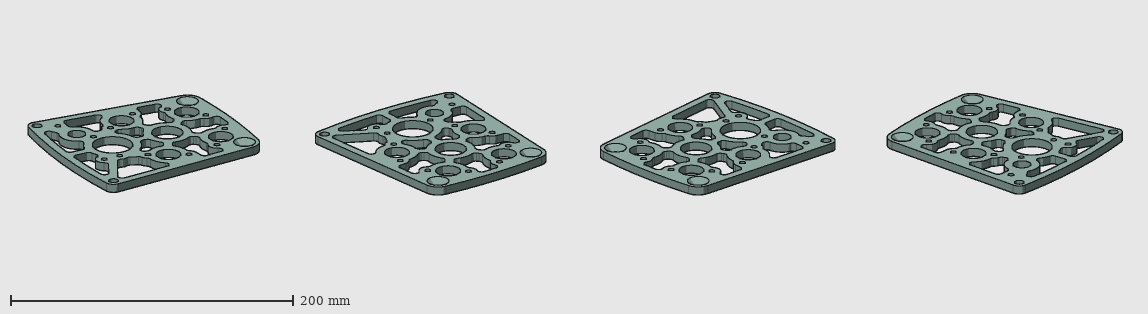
import cadquery as cq
import math

length = 137.6
thickness = 6.3
apex_y = length / 2

wall = thickness
boss_radius = wall
pocket_radius = 3.2
rim_reach = 20.6
left_rib_inner_reach = 8.3

top_corner = (41.3, 55.9)
top_corner_radius = 10.7
bottom_corner = (55.5, -58.4)
bottom_corner_radius = 6.5

countersink_hole = 6.5
countersink_diameter = 15.4
countersink_angle = 90.0
bottom_mount_hole = 6.9

middle_shaft, middle_hole = (0.0, 16.4), 22.2
lower_shaft, lower_hole = (0.0, -28.1), 28.6
upper_side_shaft = (24.8, 46.0)
lower_side_shaft = (34.0, -1.8)
side_hole = 17.6
small_shaft, small_hole = (-29.0, -40.9), 12.7

screw_hole = 4.1
upper_screw_offset = (11.0, -9.4)
lower_screw_offset = (6.9, 12.8)
inner_screw = (19.1, -32.9)
left_screw = (-48.2, -45.5)
right_screw = (19.1, -45.5)


def shifted(point, offset, sign):
    return (point[0] + sign * offset[0], point[1] + sign * offset[1])


def mirrored(point):
    return (-point[0], point[1])


def both_sides(points):
    return points + [mirrored(point) for point in points]


lower_side_screw = shifted(lower_side_shaft, lower_screw_offset, 1)
inner_side_screw = shifted(lower_side_shaft, lower_screw_offset, -1)
screws = both_sides([
    shifted(upper_side_shaft, upper_screw_offset, 1),
    shifted(upper_side_shaft, upper_screw_offset, -1),
    lower_side_screw,
    inner_side_screw,
    inner_screw,
]) + [left_screw, right_screw]

shafts = [(middle_shaft, middle_hole), (lower_shaft, lower_hole), (small_shaft, small_hole)]
shafts += [(point, side_hole) for point in both_sides([upper_side_shaft, lower_side_shaft])]

corner_dx = bottom_corner[0] - top_corner[0]
corner_dy = top_corner[1] - bottom_corner[1]
flank_normal = math.atan2(corner_dx, corner_dy) + math.asin(
    (bottom_corner_radius - top_corner_radius) / math.hypot(corner_dx, corner_dy)
)


def along(point, angle, distance):
    return (point[0] + distance * math.cos(angle), point[1] + distance * math.sin(angle))


def end_arc_angle(corner, radius):
    """Angle at which the arc through the end apex touches a corner circle."""
    drop = apex_y - abs(corner[1])
    arc_radius = (corner[0] ** 2 + drop**2 - radius**2) / (2 * (drop - radius))
    return math.atan2(arc_radius - drop, corner[0])


def outline():
    top_angle = end_arc_angle(top_corner, top_corner_radius)
    bottom_angle = -end_arc_angle(bottom_corner, bottom_corner_radius)

    def on_top(angle):
        return along(top_corner, angle, top_corner_radius)

    def on_bottom(angle):
        return along(bottom_corner, angle, bottom_corner_radius)

    top_end, top_side = on_top(top_angle), on_top(flank_normal)
    top_middle = on_top((top_angle + flank_normal) / 2)
    bottom_end, bottom_side = on_bottom(bottom_angle), on_bottom(flank_normal)
    bottom_middle = on_bottom((bottom_angle + flank_normal) / 2)
    return (
        cq.Workplane("XY")
        .moveTo(*mirrored(top_end))
        .threePointArc((0, apex_y), top_end)
        .threePointArc(top_middle, top_side)
        .lineTo(*bottom_side)
        .threePointArc(bottom_middle, bottom_end)
        .threePointArc((0, -apex_y), mirrored(bottom_end))
        .threePointArc(mirrored(bottom_middle), mirrored(bottom_side))
        .lineTo(*mirrored(top_side))
        .threePointArc(mirrored(top_middle), mirrored(top_end))
        .close()
    )


def cylinders(points, diameter):
    return cq.Workplane("XY").pushPoints(points).circle(diameter / 2).extrude(thickness)


def rib(start, end, width=wall):
    dx, dy = end[0] - start[0], end[1] - start[1]
    return (
        cq.Workplane("XY")
        .center((start[0] + end[0]) / 2, (start[1] + end[1]) / 2)
        .transformed(rotate=(0, 0, math.degrees(math.atan2(dy, dx))))
        .rect(math.hypot(dx, dy), width)
        .extrude(thickness)
    )


def web():
    """Rings, bosses and ribs left standing between the pockets."""
    solid = cylinders(screws, 2 * boss_radius)
    solid = solid.union(cylinders(both_sides([top_corner]), countersink_diameter + 2 * wall))
    for centre, hole in shafts:
        solid = solid.union(cylinders([centre], hole + 2 * wall))

    side_ribs = rib(middle_shaft, upper_side_shaft)
    side_ribs = side_ribs.union(rib(middle_shaft, lower_side_shaft))
    side_ribs = side_ribs.union(rib(inner_side_screw, inner_screw))
    side_ribs = side_ribs.union(rib(lower_shaft, bottom_corner))
    rim_end = along(lower_side_screw, flank_normal, rim_reach)
    side_ribs = side_ribs.union(rib(lower_side_screw, rim_end, 2 * boss_radius))
    solid = solid.union(side_ribs).union(side_ribs.mirror("YZ"))
    solid = solid.union(rib(middle_shaft, (0, -apex_y)))

    left_normal = math.pi - flank_normal
    outer_end = along(left_screw, left_normal, rim_reach)
    inner_end = along(left_screw, left_normal, -left_rib_inner_reach)
    return solid.union(rib(outer_end, inner_end, 2 * boss_radius))


def pockets():
    """Openings in the web, shrunk and grown back so that their inside corners become round."""
    gaps = outline().offset2D(-wall).extrude(thickness).cut(web())
    rounded = []
    for gap in gaps.faces("<Z").wires().vals():
        for core in gap.offset2D(-pocket_radius):
            rounded += core.offset2D(pocket_radius)
    return cq.Workplane("XY").newObject(rounded).toPending().extrude(thickness)


result = outline().extrude(thickness).cut(pockets())
for centre, hole in shafts:
    result = result.cut(cylinders([centre], hole))
result = result.cut(cylinders(screws, screw_hole))
result = result.cut(cylinders(both_sides([bottom_corner]), bottom_mount_hole))
result = (
    result.faces(">Z")
    .workplane(origin=(0, 0, thickness))
    .pushPoints(both_sides([top_corner]))
    .cskHole(countersink_hole, countersink_diameter, countersink_angle)
)